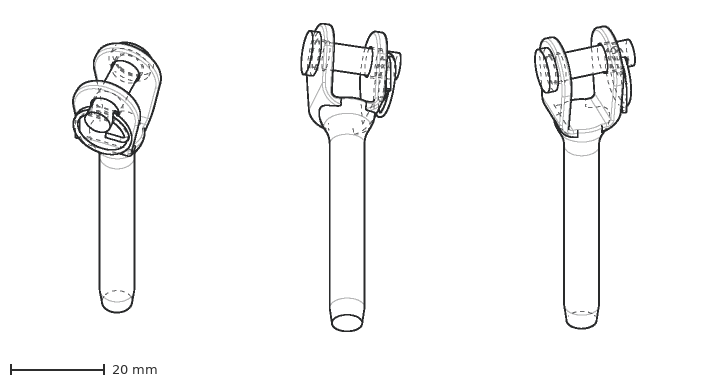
import cadquery as cq
import math

total_height = 74.0
fork_width = 14.0
fork_gap = 9.5
lug_thickness = (fork_width - fork_gap) / 2
edge_round = 0.5
margin = 0.1

lug_radius = 7.5
lug_centre_z = total_height - lug_radius
lug_taper = math.radians(10)

floor_z = 54.0
strap_bottom_z = floor_z - lug_thickness
strap_outer_radius = 5.0
strap_inner_radius = 1.0

shank_radius = 7.5 / 2
tip_radius = 6.5 / 2
tip_length = 4.0
flare_start_z = 45.85
flare_middle_z = 50.35
flare_radius = 6.0

pin_axis_z = 67.5
pin_radius = 5.8 / 2
pin_hole_radius = 6.5 / 2
head_radius = 9.5 / 2
head_thickness = 1.88
pin_length = 20.0
ring_hole_radius = 2.5 / 2
ring_hole_y = -fork_width / 2 - ring_hole_radius

wire_radius = 1.0 / 2
ring_radius = 6.1
ring_centre_z = 61.8
ring_pitch = 1.05
ring_start_y = -fork_width / 2 - wire_radius
lead_in_length = 4.8
hook_start_angle = math.radians(17)
hook_radius = 1.35
tail_end_x = 1.15
coil_steps = 60


def lug_outline():
    """Round-ended, tapering outline of both lugs and the strap, extruded through Y."""
    tangent_x = lug_radius * math.cos(lug_taper)
    tangent_z = lug_centre_z - lug_radius * math.sin(lug_taper)
    foot_x = tangent_x - (tangent_z - strap_bottom_z) * math.tan(lug_taper)
    return (
        cq.Workplane("XZ")
        .moveTo(-foot_x, strap_bottom_z)
        .lineTo(foot_x, strap_bottom_z)
        .lineTo(tangent_x, tangent_z)
        .threePointArc((0, total_height), (-tangent_x, tangent_z))
        .close()
        .extrude(fork_width / 2, both=True)
    )


def fork_gap_cutter():
    """Space between the lugs, with rounded lower corners."""
    gap_height = total_height - floor_z + margin
    return (
        cq.Workplane("XY", origin=(0, 0, floor_z))
        .box(4 * lug_radius, fork_gap, gap_height, centered=(True, True, False))
        .edges("|X and <Z")
        .fillet(strap_inner_radius)
    )


def strap_block():
    """Outside of the strap: the lug outline with rounded lower corners and edges."""
    block_height = total_height - strap_bottom_z
    rounded_block = (
        cq.Workplane("XY", origin=(0, 0, strap_bottom_z))
        .box(4 * lug_radius, fork_width, block_height, centered=(True, True, False))
        .edges("|X and <Z")
        .fillet(strap_outer_radius)
    )
    block = lug_outline().intersect(rounded_block)
    return block.edges("not (|X or |Y)").fillet(edge_round)


def shank():
    """Round shank with a tapered tip below and an S-shaped flare above."""
    lower_height = flare_middle_z - flare_start_z
    upper_height = floor_z - flare_middle_z
    half_slope = math.atan((flare_radius - shank_radius) / (lower_height + upper_height))
    flare_middle_radius = shank_radius + lower_height * math.tan(half_slope)
    return (
        cq.Workplane("XZ")
        .lineTo(tip_radius, 0)
        .lineTo(shank_radius, tip_length)
        .lineTo(shank_radius, flare_start_z)
        .tangentArcPoint((flare_middle_radius, flare_middle_z), relative=False)
        .tangentArcPoint((flare_radius, floor_z), relative=False)
        .lineTo(0, floor_z)
        .close()
        .revolve(360, (0, 0, 0), (0, 1, 0))
    )


def make_fork():
    """Strap and shank in one piece, with all strap edges rounded and the pin hole drilled."""
    body = strap_block().union(shank()).cut(fork_gap_cutter())
    gap_region = cq.selectors.BoxSelector(
        (-lug_radius - margin, -fork_gap / 2 - margin, floor_z - margin),
        (lug_radius + margin, fork_gap / 2 + margin, total_height + margin),
        boundingbox=True,
    )
    body = body.edges(gap_region).fillet(edge_round)
    pin_hole = (
        cq.Workplane("XZ", origin=(0, 0, pin_axis_z))
        .circle(pin_hole_radius)
        .extrude(fork_width, both=True)
    )
    return body.cut(pin_hole)


def make_pin():
    """Clevis pin: head on the +Y lug, cross hole for the split ring beyond the -Y lug."""
    head_face_y = fork_width / 2 + head_thickness
    body = (
        cq.Workplane("XZ", origin=(0, head_face_y, pin_axis_z))
        .circle(head_radius)
        .extrude(head_thickness)
        .faces("<Y")
        .workplane()
        .circle(pin_radius)
        .extrude(pin_length - head_thickness)
    )
    ring_hole = (
        cq.Workplane("YZ")
        .center(ring_hole_y, pin_axis_z)
        .circle(ring_hole_radius)
        .extrude(2 * pin_radius, both=True)
    )
    return body.cut(ring_hole)


def coil_point(turned):
    """Point on the coil; it starts at -X, climbs over the top and steps towards -Y."""
    x = -ring_radius * math.cos(turned)
    y = ring_start_y - ring_pitch * turned / (2 * math.pi)
    z = ring_centre_z + ring_radius * math.sin(turned)
    return cq.Vector(x, y, z)


def ring_path():
    """Middle line of the wire: straight lead-in, coil, hook bend and straight tail."""
    coil_turn = 3 * math.pi - hook_start_angle
    turns = [coil_turn * i / coil_steps for i in range(coil_steps + 1)]
    points = [coil_point(turned) for turned in turns]
    start_direction = cq.Vector(0, 0, 1)
    end_direction = cq.Vector(math.sin(hook_start_angle), 0, -math.cos(hook_start_angle))
    coil = cq.Edge.makeSpline(
        points,
        tangents=[start_direction * ring_radius, end_direction * ring_radius],
        parameters=turns,
        scale=False,
    )
    lead_in = cq.Edge.makeLine(points[0] - start_direction * lead_in_length, points[0])

    coil_end = points[-1]
    hook_end = cq.Vector(
        coil_end.x - hook_radius * math.cos(hook_start_angle),
        coil_end.y,
        coil_end.z - hook_radius * (1 + math.sin(hook_start_angle)),
    )
    hook = cq.Edge.makeTangentArc(coil_end, end_direction, hook_end)
    tail = cq.Edge.makeLine(hook_end, cq.Vector(tail_end_x, hook_end.y, hook_end.z))
    return cq.Wire.assembleEdges([lead_in, coil, hook, tail])


def make_ring():
    """Round wire swept along the ring path."""
    path = ring_path()
    wire_start = path.startPoint().toTuple()
    return cq.Workplane("XY", origin=wire_start).circle(wire_radius).sweep(path)


fork = make_fork()
pin = make_pin()
ring = make_ring()
result = cq.Compound.makeCompound([fork.solids().val(), pin.solids().val(), ring.val()])